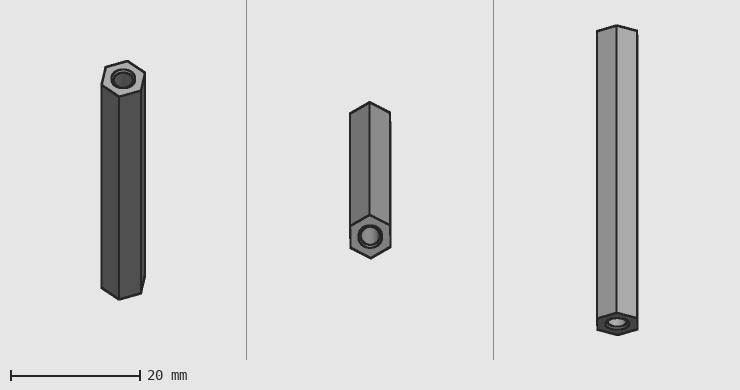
import cadquery as cq
import math

across_flats = 6.2
length = 50.8
bore_diameter = 3.0
chamfer = 0.35

across_corners = across_flats / math.cos(math.pi / 6)


def hex_bar():
    """Hexagonal bar along Z, centred on the origin, with corners on the X axis."""
    return cq.Workplane("XY").polygon(6, across_corners).extrude(length / 2, both=True)


def bore_through(body):
    """Cut the axial bore and chamfer its rim at both ends."""
    bored = body.faces(">Z").workplane().hole(bore_diameter)
    return bored.faces("|Z").edges("%CIRCLE").chamfer(chamfer)


result = bore_through(hex_bar())